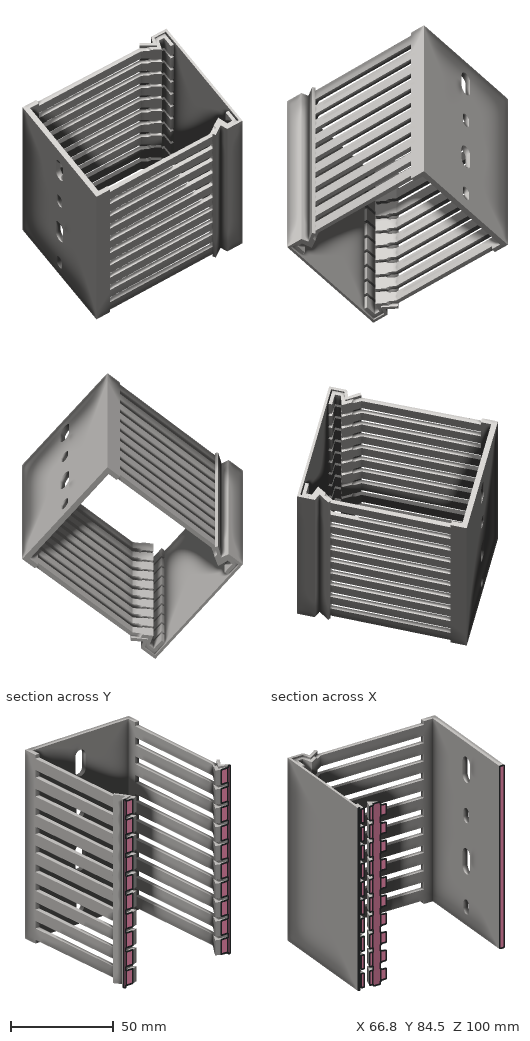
import cadquery as cq


length = 100.0
total_depth = 84.5
cover_half_width = 33.4

base_half_width = 32.5
top_half_width = 32.0
inner_half_width = 30.0
base_thickness = 2.8
lip_thickness = 1.8
lip_end_half_width = 24.0

bend_start_outer_depth = 68.0
bend_start_inner_depth = 67.5
bend_tip_outer = (27.4, 75.0)
bend_tip_inner = (24.7, 76.1)
bend_end_outer_depth = 76.6
bend_end_inner_depth = 77.9

cover_thickness = 1.3
cover_lip_gap = 0.6
cover_hook_depth = 75.6
cover_hook_corner = (29.8, 74.1)
cover_tip_outer_depth = 68.9
lip_top = total_depth - cover_thickness - cover_lip_gap

slot_pitch = 10.0
slot_width = 4.0
slot_start_depth = 8.0
slot_round_center_depth = 70.0
narrow_slot_width = 2.0

hole_pitch = 50.0
large_hole_length = 14.0
large_hole_width = 6.5
large_hole_first_z = 35.0
small_hole_length = 8.0
small_hole_width = 4.8
small_hole_first_z = 10.0
hole_rows = 2


def mirrored_profile(outer_half, inner_half):
    """Extrude a channel symmetric about X = 0 from its right-hand outer and inner outlines."""
    left = [(-x, y) for x, y in outer_half[::-1]]
    left_inner = [(-x, y) for x, y in inner_half]
    outline = inner_half[::-1] + left_inner + left + outer_half
    return cq.Workplane("XY").polyline(outline).close().extrude(length)


def make_slot_cutter(center_z):
    """Round-ended wide slot between two fingers, continued by a narrow slot through the lips."""
    round_radius = slot_width / 2
    cut_width = 2 * cover_half_width
    wide = (
        cq.Workplane("YZ")
        .moveTo(slot_start_depth, center_z - round_radius)
        .lineTo(slot_round_center_depth, center_z - round_radius)
        .threePointArc(
            (slot_round_center_depth + round_radius, center_z),
            (slot_round_center_depth, center_z + round_radius),
        )
        .lineTo(slot_start_depth, center_z + round_radius)
        .close()
        .extrude(cut_width / 2, both=True)
    )
    narrow = cq.Workplane("XY").box(
        cut_width, total_depth - slot_round_center_depth, narrow_slot_width, centered=(True, False, True)
    ).translate((0, slot_round_center_depth, center_z))
    return wide.union(narrow)


def make_base_hole(center_z, hole_length, hole_width):
    """Round-ended hole through the base, long along Z."""
    return (
        cq.Workplane("XZ", origin=(0, 0, center_z))
        .slot2D(hole_length, hole_width, 90)
        .extrude(-base_thickness)
    )


def make_duct():
    outer_half = [
        (base_half_width, 0),
        (top_half_width, bend_start_outer_depth),
        bend_tip_outer,
        (top_half_width, bend_end_outer_depth),
        (top_half_width, lip_top),
        (lip_end_half_width, lip_top),
    ]
    inner_half = [
        (inner_half_width, base_thickness),
        (inner_half_width, bend_start_inner_depth),
        bend_tip_inner,
        (inner_half_width, bend_end_inner_depth),
        (inner_half_width, lip_top - lip_thickness),
        (lip_end_half_width, lip_top - lip_thickness),
    ]
    duct = mirrored_profile(outer_half, inner_half)
    for slot_index in range(round(length / slot_pitch) + 1):
        duct = duct.cut(make_slot_cutter(slot_index * slot_pitch))
    for row in range(hole_rows):
        row_z = row * hole_pitch
        duct = duct.cut(make_base_hole(large_hole_first_z + row_z, large_hole_length, large_hole_width))
        duct = duct.cut(make_base_hole(small_hole_first_z + row_z, small_hole_length, small_hole_width))
    return duct


def make_cover():
    outer_half = [
        (cover_half_width, total_depth),
        (cover_half_width, cover_hook_depth),
        cover_hook_corner,
        (cover_half_width, cover_tip_outer_depth),
    ]
    inner_half = [
        (top_half_width, total_depth - cover_thickness),
        (top_half_width, bend_end_outer_depth),
        bend_tip_outer,
        (top_half_width, bend_start_outer_depth),
    ]
    return mirrored_profile(outer_half, inner_half)


duct = make_duct()
cover = make_cover()
result = cq.Compound.makeCompound([duct.val(), cover.val()])